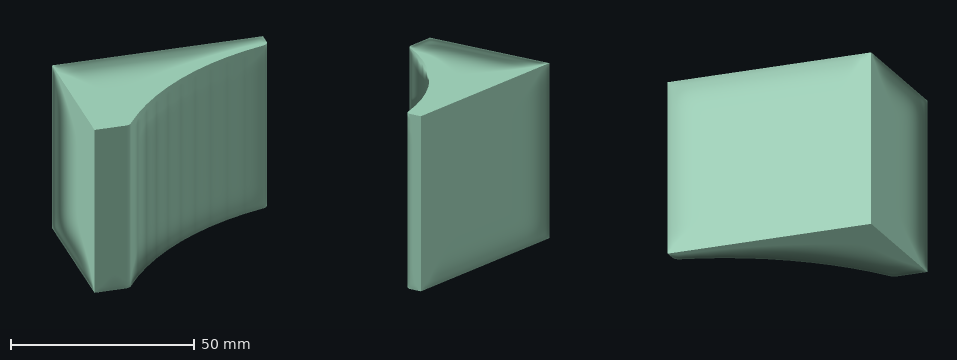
import cadquery as cq
import math

width = 40.0
depth = 60.0
height = 50.0

back_land = 5.0
side_land = 10.0
concave_radius = 80.0
corner_radius = 2.0

start_x, start_y = width, side_land
end_x, end_y = back_land, depth
run = start_x - end_x
rise = end_y - start_y
chord = math.hypot(run, rise)
sagitta = concave_radius - math.sqrt(concave_radius**2 - (chord / 2) ** 2)
middle = (
    (start_x + end_x) / 2 - sagitta * rise / chord,
    (start_y + end_y) / 2 - sagitta * run / chord,
)

body = (
    cq.Workplane("XY")
    .lineTo(width, 0)
    .lineTo(start_x, start_y)
    .threePointArc(middle, (end_x, end_y))
    .lineTo(0, depth)
    .close()
    .extrude(height)
)

margin = 0.6
arc_end_edges = cq.selectors.BoxSelector(
    (end_x - margin, start_y - margin, 0),
    (start_x + margin, end_y + margin, height),
)
result = body.edges("|Z").edges(arc_end_edges).fillet(corner_radius)